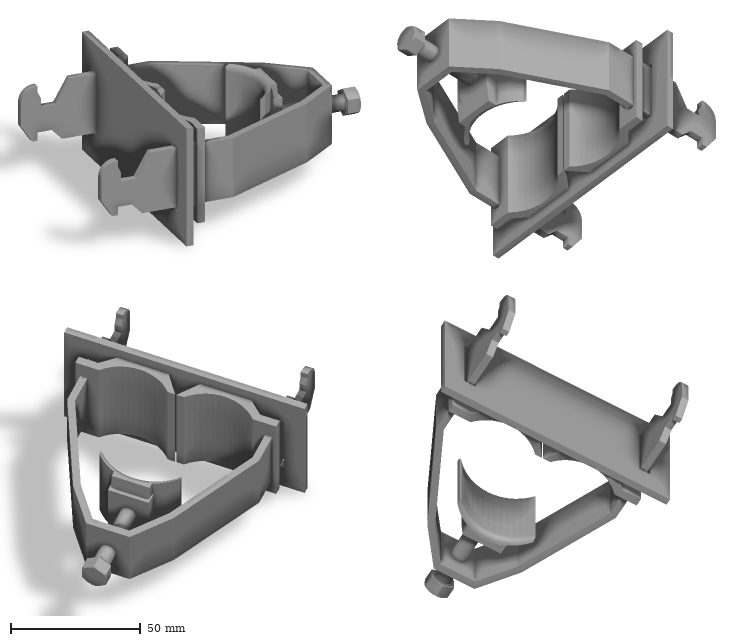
import cadquery as cq
import math


OVERALL_LENGTH = 125.2

PLATE_LENGTH = 101.0
PLATE_HEIGHT = 50.0
PLATE_THICKNESS = 2.9
PLATE_SLOT_WIDTH = 5.0
PLATE_SLOT_X = 39.2

STRAP_THICKNESS = 3.0
STRAP_WIDTH = 25.0
LEG_OUTER_X = 40.3
LEG_INNER_X = LEG_OUTER_X - STRAP_THICKNESS
LEG_BEND_Y = 21.3
SHOULDER_X = 21.2
SHOULDER_Y = 61.0
CROWN_X = 9.1
CROWN_Y = 76.6
SLOT_HEIGHT = 27.0

HOOK_TIP_Y = -34.4
HOOK_RADIUS = 6.4
HOOK_HALF_HEIGHT = 11.5
HOOK_TOP_STEP_Y = -27.4
NECK_TOP_Z = 2.5
NECK_BOTTOM_Z = -8.0
THROAT_Y = -26.0
THROAT_CHAMFER_START_Z = 6.3
THROAT_CHAMFER_END_Z = 9.0
UPPER_TAPER_START_Y = -13.6
UPPER_TAPER_END_Y = -19.5
LOWER_TAPER_START_Y = -17.2
LOWER_TAPER_END_Y = -21.5
NOSE_CHAMFER_START_Z = -4.5
NOSE_CHAMFER_END_Y = -29.7

CRADLE_WIDTH = 40.1
CRADLE_OUTER_X = 42.2
CRADLE_INNER_X = 0.3
CRADLE_HEIGHT = 8.6
FLANGE_THICKNESS = 3.3
SEAT_OUTER_X = 32.3
SEAT_INNER_X = 3.4
SEAT_FLOOR_Y = 2.3
FOOT_OUTER_X = 28.2
FOOT_INNER_X = 6.6
FLANGE_END_X = 34.0

SHANK_RADIUS = 3.4
COLLAR_RADIUS = 3.9
COLLAR_THICKNESS = 0.3
HEAD_FLATS = 10.0
HEAD_HEIGHT = 5.5
HEAD_CHAMFER_ANGLE = 30.0
BOLT_TOP_Y = HOOK_TIP_Y + OVERALL_LENGTH

SADDLE_HALF_LENGTH = 16.9
SADDLE_HEIGHT = 33.5
SADDLE_RADIUS = 21.8
SADDLE_OUTER_Y = 53.0
SADDLE_INNER_Y = 50.3
SADDLE_END_Y = 43.1
SADDLE_RIM_FILLET = SADDLE_OUTER_Y - SADDLE_INNER_Y
BLOCK_BACK_Y = 56.1
BLOCK_WIDTH = 17.2
BLOCK_BOTTOM_Z = -17.2
BLOCK_STEP_Z = 10.5
TONGUE_WIDTH = 15.9
TONGUE_BACK_Y = 54.6
BLOCK_END_SLOPE = 0.8


def bar(x_min, x_max, y_min, y_max, height):
    """Box centred on Z = 0."""
    box = cq.Workplane("XY").box(x_max - x_min, y_max - y_min, height)
    return box.translate(((x_min + x_max) / 2, (y_min + y_max) / 2, 0))


def make_plate():
    """Rectangular plate with a slot for each strap leg."""
    plate = bar(-PLATE_LENGTH / 2, PLATE_LENGTH / 2, -PLATE_THICKNESS, 0, PLATE_HEIGHT)
    for side in (-1, 1):
        slot = bar(
            side * PLATE_SLOT_X - PLATE_SLOT_WIDTH / 2,
            side * PLATE_SLOT_X + PLATE_SLOT_WIDTH / 2,
            -PLATE_THICKNESS, 0, SLOT_HEIGHT,
        )
        plate = plate.cut(slot)
    return plate


def hook_side_profile():
    """Side outline of the whole strap in the YZ plane, with the hook at its low-Y end."""
    half = STRAP_WIDTH / 2
    arc_y = HOOK_TIP_Y + HOOK_RADIUS
    arc_z = HOOK_HALF_HEIGHT - HOOK_RADIUS
    arc_mid = HOOK_RADIUS * math.sqrt(0.5)
    return (
        cq.Workplane("YZ")
        .moveTo(CROWN_Y, half)
        .lineTo(UPPER_TAPER_START_Y, half)
        .lineTo(UPPER_TAPER_END_Y, NECK_TOP_Z)
        .lineTo(THROAT_Y, NECK_TOP_Z)
        .lineTo(THROAT_Y, THROAT_CHAMFER_START_Z)
        .lineTo(HOOK_TOP_STEP_Y, THROAT_CHAMFER_END_Z)
        .lineTo(HOOK_TOP_STEP_Y, HOOK_HALF_HEIGHT)
        .lineTo(arc_y, HOOK_HALF_HEIGHT)
        .threePointArc((arc_y - arc_mid, arc_z + arc_mid), (HOOK_TIP_Y, arc_z))
        .lineTo(HOOK_TIP_Y, NOSE_CHAMFER_START_Z)
        .lineTo(NOSE_CHAMFER_END_Y, -HOOK_HALF_HEIGHT)
        .lineTo(HOOK_TOP_STEP_Y, -HOOK_HALF_HEIGHT)
        .lineTo(HOOK_TOP_STEP_Y, NECK_BOTTOM_Z)
        .lineTo(LOWER_TAPER_END_Y, NECK_BOTTOM_Z)
        .lineTo(LOWER_TAPER_START_Y, -half)
        .lineTo(CROWN_Y, -half)
        .close()
    )


def strap_loop():
    """Constant-thickness bent strip with two straight legs."""
    right_outer = [
        (LEG_OUTER_X, HOOK_TIP_Y),
        (LEG_OUTER_X, LEG_BEND_Y),
        (SHOULDER_X, SHOULDER_Y),
        (CROWN_X, CROWN_Y),
    ]
    outline = right_outer + [(-x, y) for x, y in reversed(right_outer)]
    outer = cq.Workplane("XY").polyline(outline).close().extrude(STRAP_WIDTH / 2, both=True)
    inner = (
        cq.Workplane("XY")
        .polyline(outline)
        .close()
        .offset2D(-STRAP_THICKNESS)
        .extrude(STRAP_WIDTH / 2, both=True)
    )
    opening = bar(-LEG_INNER_X, LEG_INNER_X, HOOK_TIP_Y, 0, STRAP_WIDTH)
    return outer.cut(inner).cut(opening)


def make_strap():
    """Bent strap with hooked ends and a hole for the bolt in its crown."""
    side_shape = hook_side_profile().extrude(LEG_OUTER_X, both=True)
    return strap_loop().intersect(side_shape).cut(bolt_cylinder(SHANK_RADIUS, 0, CROWN_Y))


def make_cradle(side):
    """Cradle on the -X (side = -1) or +X (side = 1) half, slotted for its strap leg."""
    seat_mid_x = (SEAT_OUTER_X + SEAT_INNER_X) / 2
    flange_y = CRADLE_HEIGHT - FLANGE_THICKNESS
    cradle = (
        cq.Workplane("XY")
        .moveTo(side * CRADLE_OUTER_X, CRADLE_HEIGHT)
        .lineTo(side * SEAT_OUTER_X, CRADLE_HEIGHT)
        .threePointArc((side * seat_mid_x, SEAT_FLOOR_Y), (side * SEAT_INNER_X, CRADLE_HEIGHT))
        .lineTo(side * CRADLE_INNER_X, CRADLE_HEIGHT)
        .lineTo(side * FOOT_INNER_X, 0)
        .lineTo(side * FOOT_OUTER_X, 0)
        .lineTo(side * FLANGE_END_X, flange_y)
        .lineTo(side * CRADLE_OUTER_X, flange_y)
        .close()
        .extrude(CRADLE_WIDTH / 2, both=True)
    )
    slot_edges = sorted((side * LEG_INNER_X, side * LEG_OUTER_X))
    return cradle.cut(bar(*slot_edges, 0, CRADLE_HEIGHT, SLOT_HEIGHT))


def bolt_cylinder(radius, y_start, y_end):
    """Cylinder on the bolt axis."""
    return cq.Workplane("XZ", origin=(0, y_start, 0)).circle(radius).extrude(y_start - y_end)


def make_bolt():
    """Hexagon bolt with a chamfered head and a thin collar under it."""
    head_base_y = BOLT_TOP_Y - HEAD_HEIGHT
    hexagon_half_angle = 30
    across_corners = HEAD_FLATS / math.cos(math.radians(hexagon_half_angle))
    head = (
        cq.Workplane("XZ", origin=(0, head_base_y, 0))
        .transformed(rotate=(0, 0, hexagon_half_angle))
        .polygon(6, across_corners)
        .extrude(-HEAD_HEIGHT)
    )
    flat_radius = HEAD_FLATS / 2
    cone_radius = flat_radius + HEAD_HEIGHT / math.tan(math.radians(HEAD_CHAMFER_ANGLE))
    cone = (
        cq.Workplane("XY")
        .polyline([
            (0, BOLT_TOP_Y), (flat_radius, BOLT_TOP_Y),
            (cone_radius, head_base_y), (0, head_base_y),
        ])
        .close()
        .revolve(360, (0, 0, 0), (0, 1, 0))
    )
    collar = bolt_cylinder(COLLAR_RADIUS, head_base_y - COLLAR_THICKNESS, head_base_y)
    shank = bolt_cylinder(SHANK_RADIUS, BLOCK_BACK_Y, head_base_y)
    return head.intersect(cone).union(collar).union(shank)


def saddle_cylinder(crest_y, height, radius=SADDLE_RADIUS):
    """Cylinder along Z whose highest point, for the saddle radius, is at crest_y."""
    centre_y = crest_y - SADDLE_RADIUS
    return cq.Workplane("XY").center(0, centre_y).circle(radius).extrude(height / 2, both=True)


def saddle_shell():
    """Curved shoe, thinnest at its ends, with two faces of one radius and rounded inner rims."""
    ring = saddle_cylinder(SADDLE_INNER_Y, SADDLE_HEIGHT, 2 * SADDLE_RADIUS)
    ring = ring.cut(saddle_cylinder(SADDLE_INNER_Y, SADDLE_HEIGHT))
    ring = ring.edges(cq.selectors.RadiusNthSelector(0)).fillet(SADDLE_RIM_FILLET)
    window = bar(-SADDLE_HALF_LENGTH, SADDLE_HALF_LENGTH, SADDLE_END_Y, SADDLE_OUTER_Y, SADDLE_HEIGHT)
    return ring.intersect(saddle_cylinder(SADDLE_OUTER_Y, SADDLE_HEIGHT)).intersect(window)


def make_saddle():
    """Saddle and the stepped block on its back that takes the bolt tip."""
    centre_y = SADDLE_OUTER_Y - SADDLE_RADIUS
    top_z = SADDLE_HEIGHT / 2
    end_y = BLOCK_BACK_Y - BLOCK_END_SLOPE
    block = (
        cq.Workplane("YZ")
        .polyline([
            (centre_y, BLOCK_BOTTOM_Z), (end_y, BLOCK_BOTTOM_Z), (BLOCK_BACK_Y, -BLOCK_STEP_Z),
            (BLOCK_BACK_Y, BLOCK_STEP_Z), (centre_y, BLOCK_STEP_Z),
        ])
        .close()
        .extrude(BLOCK_WIDTH / 2, both=True)
    )
    tongue = (
        cq.Workplane("YZ")
        .polyline([
            (centre_y, BLOCK_STEP_Z), (TONGUE_BACK_Y, BLOCK_STEP_Z),
            (TONGUE_BACK_Y - BLOCK_END_SLOPE, top_z), (centre_y, top_z),
        ])
        .close()
        .extrude(TONGUE_WIDTH / 2, both=True)
    )
    backing = block.union(tongue).cut(saddle_cylinder(SADDLE_OUTER_Y, 2 * SADDLE_HEIGHT))
    return saddle_shell().union(backing)


plate = make_plate()
strap = make_strap()
cradles = [make_cradle(side) for side in (-1, 1)]
bolt = make_bolt()
saddle = make_saddle()

result = cq.Compound.makeCompound([
    plate.val(),
    strap.val(),
    *[cradle.val() for cradle in cradles],
    bolt.val(),
    saddle.val(),
])